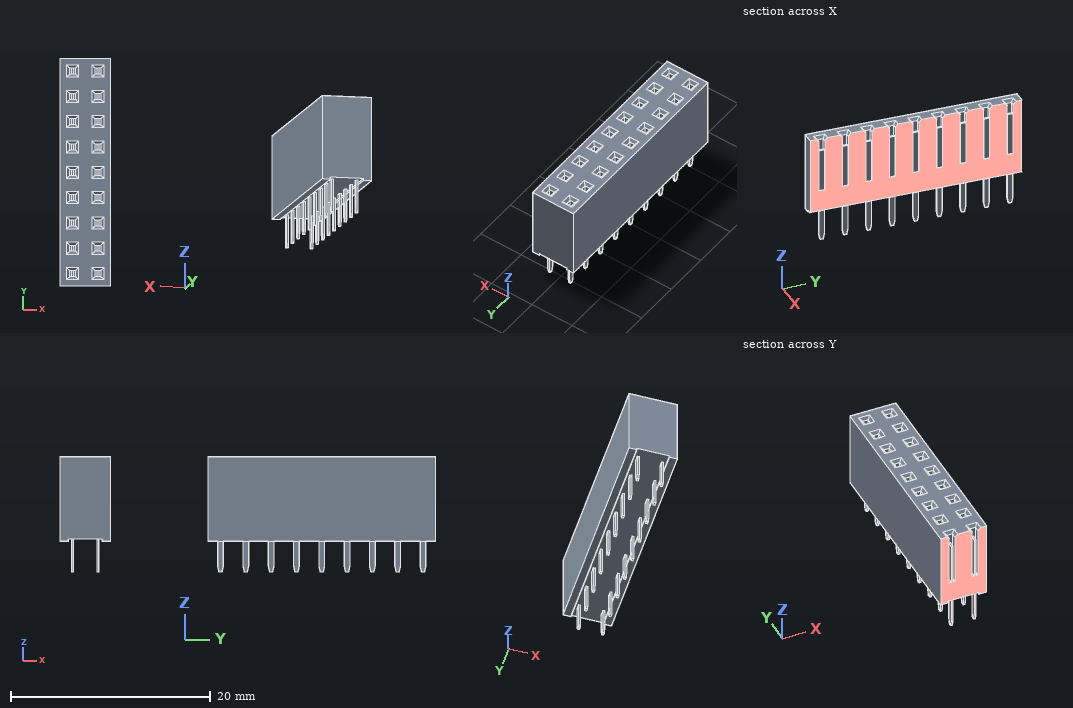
import cadquery as cq

ROW_COUNT = 2
POSITION_COUNT = 9
BODY_LENGTH = 22.85
PITCH = BODY_LENGTH / POSITION_COUNT
BODY_WIDTH = ROW_COUNT * PITCH
TOTAL_HEIGHT = 11.6
PIN_LENGTH = 3.09
BODY_HEIGHT = TOTAL_HEIGHT - PIN_LENGTH

CHANNEL_WIDTH = 3.4
CHANNEL_DEPTH = 0.2

MOUTH_SIZE = 1.21
HOLE_SIZE = 0.6
MOUTH_DEPTH = (MOUTH_SIZE - HOLE_SIZE) / 2
SOCKET_DEPTH = 5.95

PIN_THICKNESS = 0.2
PIN_WIDTH = 0.6
TIP_WIDTH = 0.32
TIP_LENGTH = 0.6
CONTACT_HEIGHT = 4.57

SOCKET_FLOOR = BODY_HEIGHT - SOCKET_DEPTH


def centred_steps(count):
    """Coordinates of a row of points one pitch apart, centred on zero."""
    return [(index - (count - 1) / 2) * PITCH for index in range(count)]


def at_every_position(shape):
    """Copies of a shape at every contact position, gathered in one compound."""
    solid = shape.val()
    return cq.Compound.makeCompound(
        [
            solid.translate(cq.Vector(x, y, 0))
            for x in centred_steps(ROW_COUNT)
            for y in centred_steps(POSITION_COUNT)
        ]
    )


def make_body():
    body = cq.Workplane("XY").box(BODY_WIDTH, BODY_LENGTH, BODY_HEIGHT, centered=(True, True, False))
    channel = cq.Workplane("XY").box(CHANNEL_WIDTH, BODY_LENGTH, CHANNEL_DEPTH, centered=(True, True, False))
    return body.cut(channel)


def make_socket():
    mouth = (
        cq.Workplane("XY", origin=(0, 0, BODY_HEIGHT))
        .rect(MOUTH_SIZE, MOUTH_SIZE)
        .workplane(offset=-MOUTH_DEPTH)
        .rect(HOLE_SIZE, HOLE_SIZE)
        .loft(ruled=True)
    )
    hole = (
        cq.Workplane("XY", origin=(0, 0, SOCKET_FLOOR))
        .rect(HOLE_SIZE, HOLE_SIZE)
        .extrude(SOCKET_DEPTH - MOUTH_DEPTH)
    )
    return mouth.union(hole)


def make_pin():
    tip_end = -PIN_LENGTH
    tip_start = tip_end + TIP_LENGTH
    pin_top = SOCKET_FLOOR + CONTACT_HEIGHT
    outline = [
        (-TIP_WIDTH / 2, tip_end),
        (TIP_WIDTH / 2, tip_end),
        (PIN_WIDTH / 2, tip_start),
        (PIN_WIDTH / 2, pin_top),
        (-PIN_WIDTH / 2, pin_top),
        (-PIN_WIDTH / 2, tip_start),
    ]
    return cq.Workplane("YZ").polyline(outline).close().extrude(PIN_THICKNESS / 2, both=True)


result = make_body().cut(at_every_position(make_socket())).union(at_every_position(make_pin()))